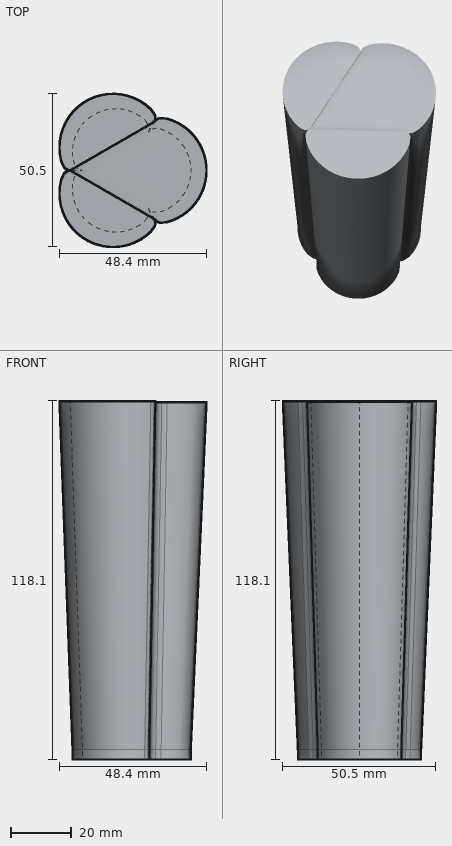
import cadquery as cq
import math

height = 118.1
foot_height = 3.3
top_radius = 17.7
top_offset = 8.7
foot_radius = 14.3
foot_offset = 7.0

flat_start = 3.13
flat_end = 1.48
flat_angle = 24.0

step_depth = 0.4

seam_angles = (60, 180, 300)


def flat_start_reach(radius, offset):
    """Distance along the seam from the part axis to the outer edge of the flat."""
    lobe_side = offset * math.sin(math.radians(60))
    return offset / 2 + math.sqrt(radius**2 - (lobe_side - flat_start) ** 2)


def seam_points(radius, offset):
    """(along seam, beside seam) points: flat start, flat end, rounding middle, cusp."""
    slope = math.radians(flat_angle)
    start = flat_start_reach(radius, offset)
    end = start - (flat_start - flat_end) * math.tan(slope)
    rounding = flat_end / (1 - math.sin(slope))
    cusp = end - rounding * math.cos(slope)
    middle_angle = -(slope + math.pi / 2) / 2
    middle = (
        cusp + rounding * math.cos(middle_angle),
        rounding + rounding * math.sin(middle_angle),
    )
    return (start, flat_start), (end, flat_end), middle, (cusp, 0)


def on_seam(point, angle, side=1):
    """Turn an (along, beside) seam point into X, Y; side is +1 counterclockwise."""
    along, beside = point
    turn = math.radians(angle)
    beside *= side
    return (
        along * math.cos(turn) - beside * math.sin(turn),
        along * math.sin(turn) + beside * math.cos(turn),
    )


def outline(plane, radius, offset):
    """Three-lobed section, drawn counterclockwise from the cusp of the last seam."""
    start, end, middle, cusp = seam_points(radius, offset)
    section = plane.moveTo(*on_seam(cusp, seam_angles[-1]))
    for angle in seam_angles:
        previous = angle - 120
        lobe_tip = on_seam((offset + radius, 0), angle - 60)
        section = (
            section.threePointArc(on_seam(middle, previous), on_seam(end, previous))
            .lineTo(*on_seam(start, previous))
            .threePointArc(lobe_tip, on_seam(start, angle, -1))
            .lineTo(*on_seam(end, angle, -1))
            .threePointArc(on_seam(middle, angle, -1), on_seam(cusp, angle))
        )
    return section.close()


def foot():
    return outline(cq.Workplane("XY"), foot_radius, foot_offset).extrude(foot_height)


def tapered_body():
    section = outline(cq.Workplane("XY").workplane(offset=foot_height), foot_radius, foot_offset)
    section = section.workplane(offset=height - foot_height)
    return outline(section, top_radius, top_offset).loft(ruled=True, combine=True)


def step_cutter():
    """Wedge from the -X cusp through the other two cusps and out past the +X lobe."""
    cusp = seam_points(top_radius, top_offset)[-1]
    far = (3 * top_radius, 0)
    corners = [
        on_seam(cusp, 180),
        on_seam(cusp, 300),
        on_seam(far, 300),
        on_seam(far, 0),
        on_seam(far, 60),
        on_seam(cusp, 60),
    ]
    base = cq.Workplane("XY").workplane(offset=height - step_depth)
    return base.polyline(corners).close().extrude(2 * step_depth)


result = foot().union(tapered_body()).cut(step_cutter())